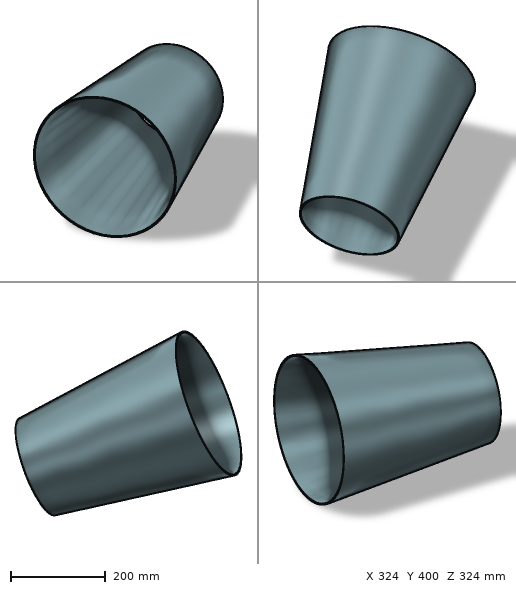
import cadquery as cq

length = 400.0
large_diameter = 324.0
small_diameter = 219.0
wall = 3.0

large_radius = large_diameter / 2
small_radius = small_diameter / 2
front_y = -length / 2
back_y = length / 2

wall_section = (
    cq.Workplane("XY")
    .moveTo(large_radius - wall, front_y)
    .lineTo(large_radius, front_y)
    .lineTo(small_radius, back_y)
    .lineTo(small_radius - wall, back_y)
    .close()
)

result = wall_section.revolve(360, (0, 0, 0), (0, 1, 0))